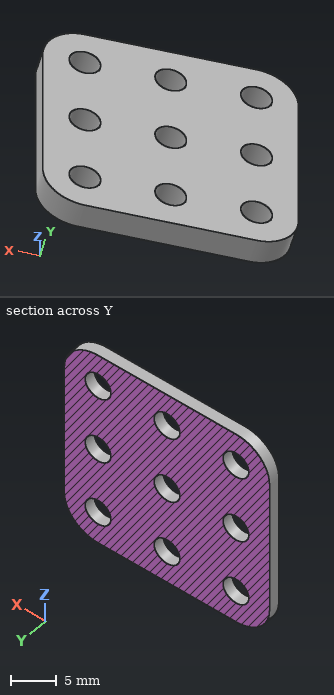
import cadquery as cq

plate_side = 29.08
plate_thickness = 3.175
hole_pitch = 9.75
hole_diameter = 3.57
holes_per_side = 3

corner_radius = (plate_side - (holes_per_side - 1) * hole_pitch) / 2


def rounded_plate():
    """Square plate standing in the XZ plane, with its four corners rounded."""
    plate = cq.Workplane("XY").box(plate_side, plate_thickness, plate_side)
    return plate.edges("|Y").fillet(corner_radius)


def drill_hole_grid(plate):
    """Drill a square grid of through holes, centred on the front face."""
    return (
        plate.faces("<Y")
        .workplane(centerOption="CenterOfBoundBox")
        .rarray(hole_pitch, hole_pitch, holes_per_side, holes_per_side)
        .hole(hole_diameter)
    )


result = drill_hole_grid(rounded_plate())